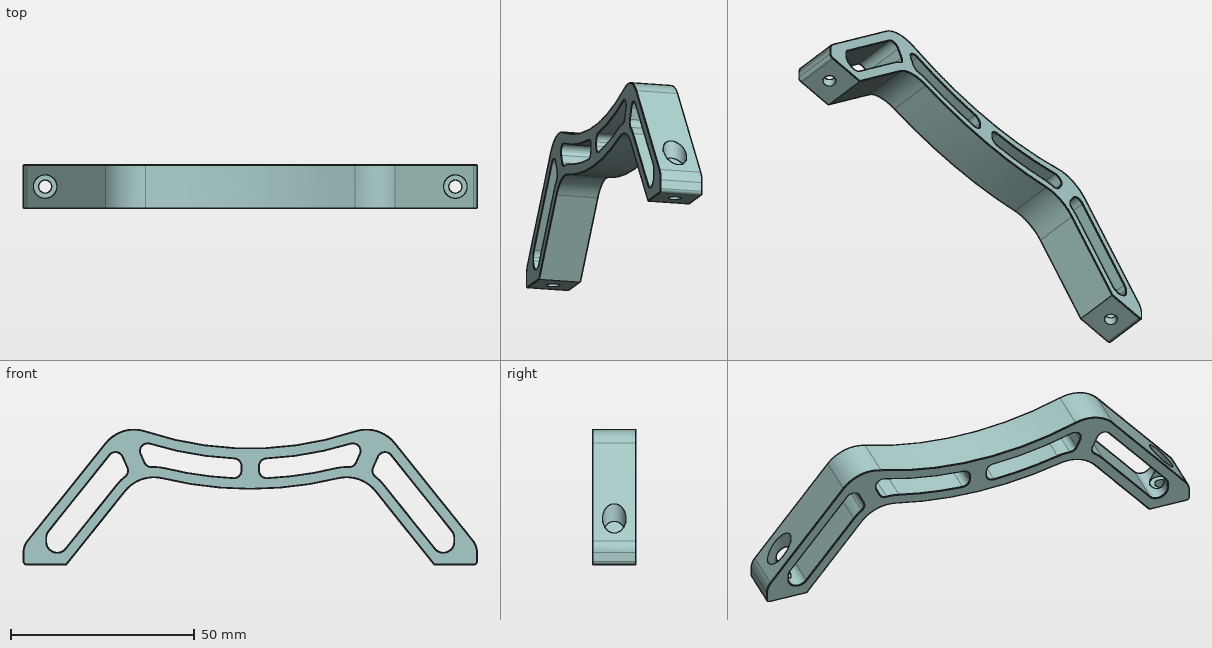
import cadquery as cq
import math

length = 124.0
width = 12.0
height = 37.04
edge_chamfer = 0.2

leg_angle = math.degrees(math.atan2(5, 4))
foot_length = 11.8
foot_side_height = 5.2
foot_shoulder_radius = 5.0
foot_heel_radius = 1.0

bridge_top_radius = 90.0
bridge_thickness = 11.2
knee_radius = 10.0

wall = 3.0
middle_rib = 5.0
knee_rib = 5.0
knee_rib_tilt = 24.0
knee_rib_x = -31.9
knee_rib_z = 28.8
window_end_x = -55.6
window_end_radius = 2.9
window_corner_radius = 2.0

hole_x = 56.0
hole_diameter = 3.5
counterbore_diameter = 6.4
counterbore_floor = 3.0

half_length = length / 2
slope = math.tan(math.radians(leg_angle))
sin_leg = math.sin(math.radians(leg_angle))
cos_leg = math.cos(math.radians(leg_angle))
bridge_bottom_radius = bridge_top_radius + bridge_thickness

leg_outer_line = foot_side_height + slope * half_length
leg_inner_line = slope * (half_length - foot_length)

knee_center_z = height - knee_radius
knee_center_x = (knee_center_z - leg_outer_line + knee_radius / cos_leg) / slope
knee_to_bridge_center = math.sqrt((bridge_top_radius + knee_radius) ** 2 - knee_center_x**2)
bridge_center_z = knee_center_z + knee_to_bridge_center


def leg_meets_arc(leg_line, radius):
    """Left-hand point where a leg line meets the lower half of a bridge arc."""
    center_drop = (bridge_center_z - leg_line) * cos_leg
    half_chord = math.sqrt(radius**2 - center_drop**2)
    x = center_drop * sin_leg - half_chord * cos_leg
    return (x, leg_line + slope * x)


def mirrored(point):
    return (-point[0], point[1])


def round_corners(body, point, radius):
    """Round the edge along Y nearest to a profile point, and its mirror image."""
    for x, z in (point, mirrored(point)):
        nearest = cq.selectors.NearestToPointSelector((x, 0, z))
        body = body.edges("|Y").edges(nearest).fillet(radius)
    return body


def make_band(inset, end_x):
    """Legs and bridge set in from the outline, with upright ends at end_x.

    The inner knees are rounded; the outer knees are left sharp.
    """
    outer_line = leg_outer_line - inset / cos_leg
    inner_line = leg_inner_line + inset / cos_leg
    top_radius = bridge_top_radius + inset
    bottom_radius = bridge_bottom_radius - inset
    outer_knee = leg_meets_arc(outer_line, top_radius)
    inner_knee = leg_meets_arc(inner_line, bottom_radius)
    end_top = (end_x, outer_line + slope * end_x)
    end_bottom = (end_x, inner_line + slope * end_x)
    band = (
        cq.Workplane("XZ")
        .moveTo(*end_bottom)
        .lineTo(*end_top)
        .lineTo(*outer_knee)
        .threePointArc((0, bridge_center_z - top_radius), mirrored(outer_knee))
        .lineTo(*mirrored(end_top))
        .lineTo(*mirrored(end_bottom))
        .lineTo(*mirrored(inner_knee))
        .threePointArc((0, bridge_center_z - bottom_radius), inner_knee)
        .close()
        .extrude(width / 2, both=True)
    )
    return round_corners(band, inner_knee, knee_radius + inset)


def make_body():
    above_ground = cq.Workplane("XY").box(length, width, 2 * height, centered=(True, True, False))
    body = make_band(0, -half_length).intersect(above_ground)
    body = round_corners(body, leg_meets_arc(leg_outer_line, bridge_top_radius), knee_radius)
    body = round_corners(body, (-half_length, 0), foot_heel_radius)
    return round_corners(body, (-half_length, foot_side_height), foot_shoulder_radius)


def round_face_corners(window, face_selector, radius):
    return window.faces(face_selector).edges("|Y").fillet(radius)


def make_windows():
    """Cutters for the leg window and the bridge window of the left half."""
    middle_rib_cut = cq.Workplane("XY").box(middle_rib, width, 2 * height)
    knee_rib_cut = (
        cq.Workplane("XY")
        .box(knee_rib, width, height)
        .rotate((0, 0, 0), (0, 1, 0), -knee_rib_tilt)
        .translate((knee_rib_x, 0, knee_rib_z))
    )
    pieces = make_band(wall, window_end_x).cut(middle_rib_cut).cut(knee_rib_cut).solids()
    rib_side = cq.selectors.NearestToPointSelector((knee_rib_x, 0, knee_rib_z))

    leg_window = cq.Workplane(pieces.solids("<X").val())
    leg_window = round_face_corners(leg_window, "<X", window_end_radius)
    leg_window = round_face_corners(leg_window, rib_side, window_corner_radius)

    bridge_window = cq.Workplane(pieces.sort(lambda s: s.Center().x)[1].val())
    bridge_window = round_face_corners(bridge_window, ">X", window_corner_radius)
    bridge_window = round_face_corners(bridge_window, rib_side, window_corner_radius)
    return [leg_window, bridge_window]


def make_screw_hole():
    """Cutter for the left foot: a through hole below a counterbore open to the sloped face."""
    hole = cq.Workplane("XY").center(-hole_x, 0).circle(hole_diameter / 2).extrude(height)
    counterbore = (
        cq.Workplane("XY", origin=(-hole_x, 0, counterbore_floor))
        .circle(counterbore_diameter / 2)
        .extrude(height - counterbore_floor)
    )
    return hole.union(counterbore)


result = make_body()
for window in make_windows():
    result = result.cut(window).cut(window.mirror("YZ"))
result = result.faces("<Y or >Y").chamfer(edge_chamfer)
screw_hole = make_screw_hole()
result = result.cut(screw_hole).cut(screw_hole.mirror("YZ"))